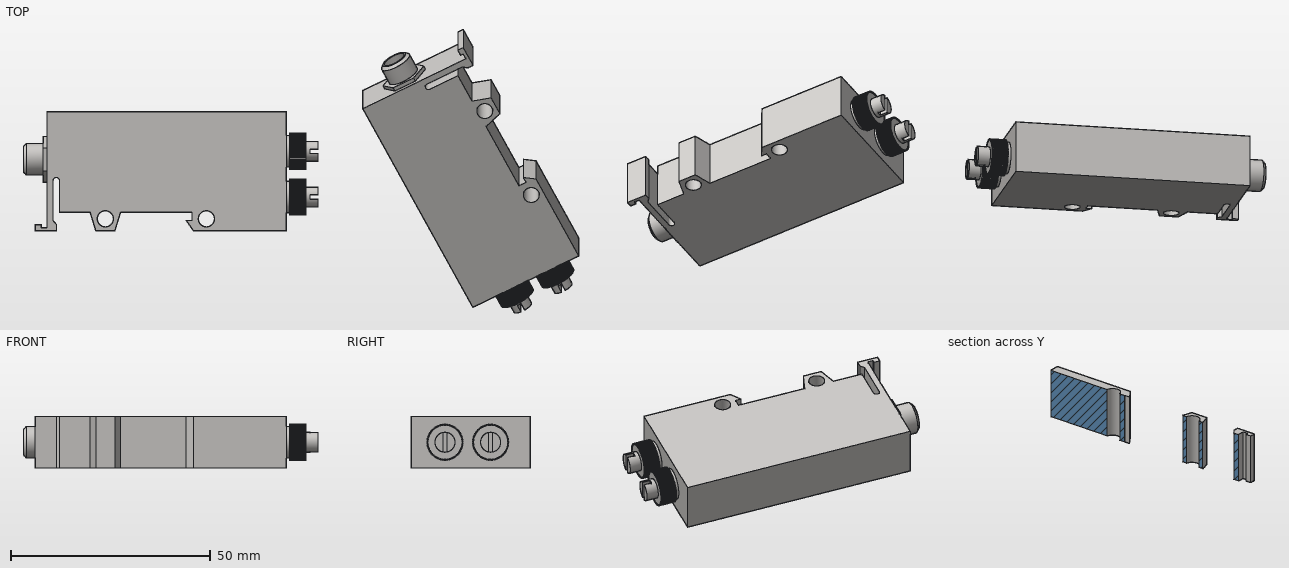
import cadquery as cq
import math

length = 74.0
width = 30.0
thickness = 13.0
mid_height = thickness / 2

body_left = 5.9
body_right = 66.0

recess_depth = 4.65
recess_step_x = 42.3
hook_tip_x = 40.85
hook_tip_y = 2.7
hook_base_x = 42.7

latch_thickness = 1.55
slot_width = 1.55
slot_end_y = 13.4
foot_tip_x = 2.95
foot_height = 1.55
foot_notch_x = 4.5
foot_notch_y = 0.8
barb_depth = 0.9
barb_start_y = 2.6

lug_x = 20.6
lug_top_width = 7.7
lug_bottom_width = 4.8
hole_diameter = 4.0
hole_y = 3.0
hole_positions_x = (lug_x, 45.95)

socket_y = 18.0
nut_thickness = 0.95
nut_across_flats = 10.0
socket_diameter = 8.0
socket_chamfer = 0.75
socket_bore_diameter = 5.55
socket_bore_depth = 3.0

plug_positions_y = (8.5, 20.0)
collar_diameter = 8.0
collar_length = 0.8
knurl_diameter = 9.1
knurl_length = 4.15
knurl_tooth_count = 90
knurl_tooth_depth = 0.3
pin_diameter = 5.0
pin_slot_width = 1.0
pin_slot_depth = 2.0


def make_housing():
    slot_left = body_left + latch_thickness
    slot_right = slot_left + slot_width
    slot_radius = slot_width / 2
    barb_x = slot_left + barb_depth
    outline = (
        cq.Workplane("XY")
        .moveTo(body_left, width)
        .lineTo(body_left, foot_notch_y)
        .lineTo(foot_notch_x, foot_notch_y)
        .lineTo(foot_notch_x, foot_height)
        .lineTo(foot_tip_x, foot_height)
        .lineTo(foot_tip_x, 0)
        .lineTo(barb_x, 0)
        .lineTo(barb_x, foot_height)
        .lineTo(slot_left, barb_start_y)
        .lineTo(slot_left, slot_end_y - slot_radius)
        .threePointArc(
            (slot_left + slot_radius, slot_end_y),
            (slot_right, slot_end_y - slot_radius),
        )
        .lineTo(slot_right, recess_depth)
        .lineTo(lug_x - lug_top_width / 2, recess_depth)
        .lineTo(lug_x - lug_bottom_width / 2, 0)
        .lineTo(lug_x + lug_bottom_width / 2, 0)
        .lineTo(lug_x + lug_top_width / 2, recess_depth)
        .lineTo(recess_step_x, recess_depth)
        .lineTo(recess_step_x, hook_tip_y)
        .lineTo(hook_tip_x, hook_tip_y)
        .lineTo(hook_base_x, 0)
        .lineTo(body_right, 0)
        .lineTo(body_right, width)
        .close()
    )
    holes = (
        cq.Workplane("XY")
        .pushPoints([(x, hole_y) for x in hole_positions_x])
        .circle(hole_diameter / 2)
        .extrude(thickness)
    )
    return outline.extrude(thickness).cut(holes)


def end_plane(x, y):
    """Workplane facing +X, centred at mid thickness; its local x axis is Y."""
    return cq.Workplane("YZ", origin=(x, y, mid_height))


def make_socket():
    nut_across_corners = nut_across_flats / math.cos(math.pi / 6)
    nut = (
        end_plane(body_left - nut_thickness, socket_y)
        .polygon(6, nut_across_corners)
        .extrude(nut_thickness)
    )
    barrel = (
        end_plane(0, socket_y)
        .circle(socket_diameter / 2)
        .extrude(body_left)
        .faces("<X")
        .chamfer(socket_chamfer)
    )
    return barrel.union(nut)


def make_socket_bore():
    return end_plane(0, socket_y).circle(socket_bore_diameter / 2).extrude(socket_bore_depth)


def knurl_points():
    """Alternating tip and root points of the triangular knurl teeth."""
    tip_radius = knurl_diameter / 2
    root_radius = tip_radius - knurl_tooth_depth
    points = []
    for i in range(2 * knurl_tooth_count):
        angle = math.pi * i / knurl_tooth_count
        radius = tip_radius if i % 2 == 0 else root_radius
        points.append((radius * math.cos(angle), radius * math.sin(angle)))
    return points


def make_plug(y):
    knurl_left = body_right + collar_length
    pin_slot_left = length - pin_slot_depth

    collar = end_plane(body_right, y).circle(collar_diameter / 2).extrude(collar_length)
    knurl = end_plane(knurl_left, y).polyline(knurl_points()).close().extrude(knurl_length)
    pin_slot = end_plane(pin_slot_left, y).rect(pin_slot_width, pin_diameter).extrude(pin_slot_depth)
    pin = end_plane(knurl_left, y).circle(pin_diameter / 2).extrude(length - knurl_left).cut(pin_slot)
    return collar.union(knurl).union(pin)


result = make_housing().union(make_socket()).cut(make_socket_bore())
for plug_y in plug_positions_y:
    result = result.union(make_plug(plug_y))